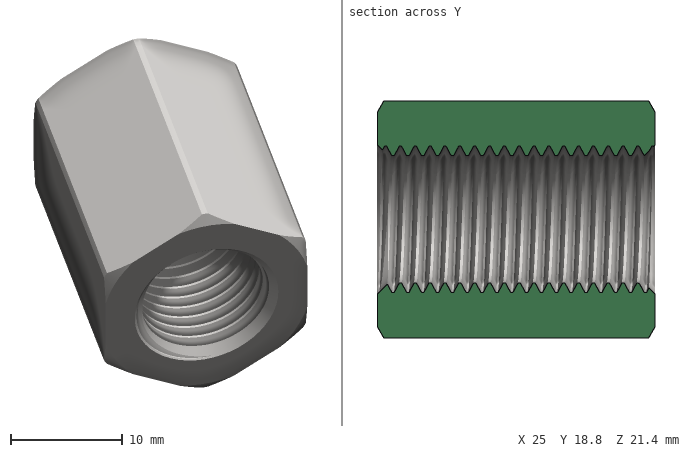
import cadquery as cq
import math

length = 25.0
across_flats = 18.8
corner_diameter = 21.4

end_face_diameter = 19.42
end_chamfer_angle = 30.0

bore_diameter = 11.45
thread_diameter = 13.15
turns_in_length = 18.7
thread_pitch = length / turns_in_length
crest_width = 0.25
root_width = 0.18
thread_start_angle = -135.0
thread_start_offset = -0.42
run_out_turns = 2
countersink_diameter = 13.4
countersink_angle = 45.0

chamfer_slope = math.tan(math.radians(end_chamfer_angle))
sink_slope = math.tan(math.radians(countersink_angle))
bore_radius = bore_diameter / 2


def hexagonal_body():
    """Hexagon with corners along Z, trimmed by a chamfered cylinder."""
    circumscribed = across_flats / math.cos(math.pi / 6)
    hexagon = (
        cq.Workplane("YZ").polygon(6, circumscribed).extrude(length)
        .rotate((0, 0, 0), (1, 0, 0), 90)
    )
    corner_radius = corner_diameter / 2
    face_radius = end_face_diameter / 2
    chamfer_depth = (corner_radius - face_radius) * chamfer_slope
    envelope = (
        cq.Workplane("XY")
        .polyline([
            (0, 0),
            (0, face_radius),
            (chamfer_depth, corner_radius),
            (length - chamfer_depth, corner_radius),
            (length, face_radius),
            (length, 0),
        ])
        .close()
        .revolve(360, (0, 0, 0), (1, 0, 0))
    )
    return hexagon.intersect(envelope)


def countersink():
    """Cone at the origin end, with its wide mouth on the end face."""
    sink_radius = countersink_diameter / 2
    return (
        cq.Workplane("XY")
        .polyline([(0, 0), (0, sink_radius), (sink_radius * sink_slope, 0)])
        .close()
        .revolve(360, (0, 0, 0), (1, 0, 0))
    )


def helix_edge(radius, start):
    """One right-handed turn about Z, beginning at the given height."""
    turn = cq.Wire.makeHelix(thread_pitch, thread_pitch, radius)
    return turn.translate(cq.Vector(0, 0, start)).Edges()[0]


def threaded_core():
    """Male thread that fills the bore and runs out past both ends of the nut.

    Each turn is four helical strips, named as on the nut: crest, flank, root, flank.
    A helical floor and a flat radial step close each end on the axis.
    """
    root_radius = thread_diameter / 2
    flank_width = (thread_pitch - crest_width - root_width) / 2
    turn_profile = [
        (bore_radius, 0),
        (bore_radius, crest_width),
        (root_radius, crest_width + flank_width),
        (root_radius, crest_width + flank_width + root_width),
        (bore_radius, thread_pitch),
    ]
    turns = math.ceil(length / thread_pitch) + 2 * run_out_turns
    core_length = turns * thread_pitch
    faces = []

    for turn in range(turns):
        base = turn * thread_pitch
        edges = [helix_edge(radius, base + height) for radius, height in turn_profile]
        for lower, upper in zip(edges, edges[1:]):
            faces.append(cq.Face.makeRuledSurface(lower, upper))

    for base in (0, core_length):
        axis_start = cq.Vector(0, 0, base)
        axis_end = cq.Vector(0, 0, base + thread_pitch)
        axis = cq.Edge.makeLine(axis_start, axis_end)
        faces.append(cq.Face.makeRuledSurface(axis, helix_edge(bore_radius, base)))
        step = [cq.Vector(radius, 0, base + height) for radius, height in turn_profile]
        outline = cq.Wire.makePolygon([axis_start, *step, axis_end], close=True)
        faces.append(cq.Face.makeFromWires(outline))

    core = cq.Solid.makeSolid(cq.Shell.makeShell(faces)).fix()
    return (
        cq.Workplane(core)
        .rotate((0, 0, 0), (0, 1, 0), 90)
        .rotate((0, 0, 0), (1, 0, 0), thread_start_angle)
        .translate((thread_start_offset - run_out_turns * thread_pitch, 0, 0))
    )


near_countersink = countersink()
far_countersink = near_countersink.mirror("YZ").translate((length, 0, 0))

result = (
    hexagonal_body()
    .cut(threaded_core())
    .cut(near_countersink)
    .cut(far_countersink)
    .translate((-length / 2, 0, 0))
)